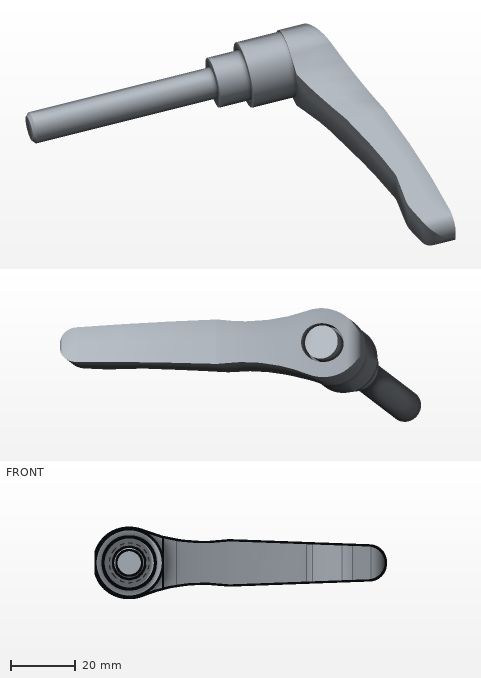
import cadquery as cq
import math


STUD_DIA = 10.0
STUD_LENGTH = 60.0
STUD_CHAMFER = 1.0
INSERT_DIA = 16.0
HUB_DIA = 21.0
HUB_BORE_DIA = 16.6
HUB_BOTTOM = 10.0
HUB_LENGTH = 14.0
HUB_BORE_DEPTH = 10.0

BUTTON_DIA = 10.6
BUTTON_TOP = 37.0
BUTTON_HOLE_DIA = 12.4
BUTTON_HOLE_FLOOR = 30.0

HEAD_RADIUS = 11.0
NECK_RADIUS = 50.0
NECK_CENTER_X = 23.0
GRIP_START_X = 30.8
GRIP_START_BLEND = 10.0
TIP_RADIUS = 5.5
TIP_X = 80.01

LEVER_TOP = 54.3
HEAD_BOTTOM = HUB_BOTTOM + HUB_LENGTH
HEAD_FLAT_X = -HUB_DIA / 2
HEAD_CORNER_Y = 31.6
HEAD_CORNER_RADIUS = 5.0
TOP_ARC_MID = (30.9, 46.2)
TOP_ARC_END_X = 74.5
TIP_TOP_RADIUS = 1.0
TIP_BOTTOM_RADIUS = 7.0
HEAD_BOTTOM_END_X = HUB_DIA / 2
UNDERSIDE_START = (14.8, 26.0)
UNDERSIDE_MID = (35.0, 35.2)
UNDERSIDE_FLAT_Y = 42.1
UNDERSIDE_FLAT_START_X = 56.2
UNDERSIDE_FLAT_END_X = 68.0
UNDERSIDE_FLAT_BLENDS = (7.0, 10.0)
TIP_SLOPE = math.radians(19.0)


def cylinder_along_y(diameter, y_start, y_end):
    """Cylinder on the stud axis between two Y levels."""
    plane = cq.Workplane("XZ", origin=(0, y_start, 0))
    return plane.circle(diameter / 2).extrude(y_start - y_end)


def round_z_edge(body, point, radius):
    """Round the edge parallel to Z that passes nearest to an (x, y) point."""
    return body.edges(cq.selectors.NearestToPointSelector((*point, 0))).fillet(radius)


def make_plan():
    """Lever outline along the stud axis: round head, waisted neck and tapered grip."""
    center_distance = HEAD_RADIUS + NECK_RADIUS
    neck_center_z = math.sqrt(center_distance**2 - NECK_CENTER_X**2)

    def neck_z(x):
        return neck_center_z - math.sqrt(NECK_RADIUS**2 - (x - NECK_CENTER_X) ** 2)

    joint_x = NECK_CENTER_X * HEAD_RADIUS / center_distance
    joint_z = neck_center_z * HEAD_RADIUS / center_distance
    waist_z = neck_z(NECK_CENTER_X)
    grip_z = neck_z(GRIP_START_X)

    tip_center_x = TIP_X - TIP_RADIUS
    grip_length = tip_center_x - GRIP_START_X
    side_reach = math.hypot(grip_length, grip_z)
    taper = math.asin(grip_z / side_reach) - math.asin(TIP_RADIUS / side_reach)
    tip_x = tip_center_x + TIP_RADIUS * math.sin(taper)
    tip_z = TIP_RADIUS * math.cos(taper)

    outline = (
        cq.Workplane("XZ")
        .moveTo(joint_x, -joint_z)
        .threePointArc((-HEAD_RADIUS, 0), (joint_x, joint_z))
        .threePointArc((NECK_CENTER_X, waist_z), (GRIP_START_X, grip_z))
        .lineTo(tip_x, tip_z)
        .threePointArc((TIP_X, 0), (tip_x, -tip_z))
        .lineTo(GRIP_START_X, -grip_z)
        .threePointArc((NECK_CENTER_X, -waist_z), (joint_x, -joint_z))
        .close()
    )
    plan = outline.extrude(-LEVER_TOP)
    for z in (grip_z, -grip_z):
        corner = cq.selectors.NearestToPointSelector((GRIP_START_X, LEVER_TOP / 2, z))
        plan = plan.edges(corner).fillet(GRIP_START_BLEND)
    return plan


def make_side_profile():
    """Lever side profile as a plate wider than the head."""
    tip_bottom_y = UNDERSIDE_FLAT_Y + (TIP_X - UNDERSIDE_FLAT_END_X) * math.tan(TIP_SLOPE)
    head_corner = (HEAD_FLAT_X, HEAD_CORNER_Y)
    flat_start = (UNDERSIDE_FLAT_START_X, UNDERSIDE_FLAT_Y)
    flat_end = (UNDERSIDE_FLAT_END_X, UNDERSIDE_FLAT_Y)
    tip_bottom = (TIP_X, tip_bottom_y)
    tip_top = (TIP_X, LEVER_TOP)
    plate = (
        cq.Workplane("XY")
        .moveTo(HEAD_FLAT_X, HEAD_BOTTOM)
        .lineTo(*head_corner)
        .threePointArc(TOP_ARC_MID, (TOP_ARC_END_X, LEVER_TOP))
        .lineTo(*tip_top)
        .lineTo(*tip_bottom)
        .lineTo(*flat_end)
        .lineTo(*flat_start)
        .threePointArc(UNDERSIDE_MID, UNDERSIDE_START)
        .lineTo(HEAD_BOTTOM_END_X, HEAD_BOTTOM)
        .close()
        .extrude(HEAD_RADIUS, both=True)
    )
    plate = round_z_edge(plate, head_corner, HEAD_CORNER_RADIUS)
    plate = round_z_edge(plate, tip_top, TIP_TOP_RADIUS)
    plate = round_z_edge(plate, tip_bottom, TIP_BOTTOM_RADIUS)
    for corner, radius in zip((flat_start, flat_end), UNDERSIDE_FLAT_BLENDS):
        plate = round_z_edge(plate, corner, radius)
    return plate


def make_lever():
    """Lever with its hub, the hole for the button and the bore for the insert."""
    hub = cylinder_along_y(HUB_DIA, HUB_BOTTOM, HEAD_BOTTOM)
    button_hole = cylinder_along_y(BUTTON_HOLE_DIA, BUTTON_HOLE_FLOOR, LEVER_TOP)
    hub_bore = cylinder_along_y(HUB_BORE_DIA, HUB_BOTTOM, HUB_BOTTOM + HUB_BORE_DEPTH)
    lever = make_plan().intersect(make_side_profile())
    return lever.union(hub).cut(button_hole).cut(hub_bore)


def make_stud():
    """Plain stud with a chamfered end."""
    stud = cylinder_along_y(STUD_DIA, -STUD_LENGTH, 0)
    return stud.faces("<Y").chamfer(STUD_CHAMFER)


insert = cylinder_along_y(INSERT_DIA, 0, HUB_BOTTOM + HUB_BORE_DEPTH)
button = cylinder_along_y(BUTTON_DIA, BUTTON_HOLE_FLOOR, BUTTON_TOP)

result = make_lever().union(insert).union(button).union(make_stud())